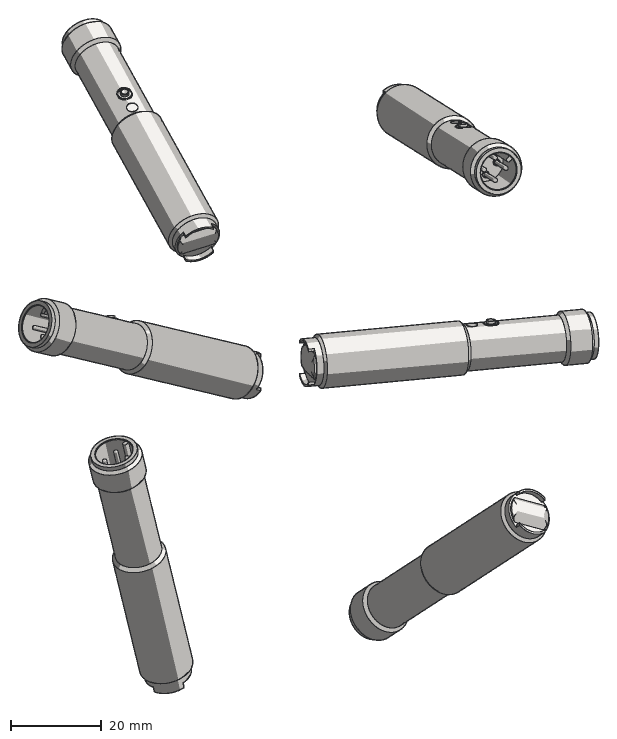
import cadquery as cq
import math

length = 66.3
body_d = 12.0
neck_d = 10.5
nose_d = 10.5
rear_d = 10.6
nose_end = 1.05
collar_start = 1.65
collar_end = 6.7
neck_start = 7.4
neck_end = 29.45
barrel_start = 30.2
barrel_end = 62.8
rear_start = 63.4
rear_floor = 65.0

mouth_d = 8.6
socket_d = 8.3
mouth_chamfer = (mouth_d - socket_d) / 2
socket_depth = 8.6
pin_d = 1.0
pin_count = 4
pin_circle_r = 2.5
pin_tip_x = 2.0
pin_base_d = 1.5
pin_base_height = 0.25
key_d = 1.0
key_circle_r = 3.4
key_angle = 45.0

button_x = 23.3
button_d = 2.0
button_top_z = 5.8
recess_d = 3.5
recess_floor_z = 5.0
seat_d = 3.0
seat_top_z = 5.2
dish_d = 1.45
dish_depth = 0.25
window_x = 27.65
window_d = 2.5
window_z = 5.05

prong_width = 6.6
prong_inner_d = 9.7
bar_half_width = 3.0
bar_top_x = 65.9
bar_rim_x = 65.45
bar_flat_r = 3.0
bar_bulge = 0.1


def rod(start_x, end_x, diameter, y=0.0, z=0.0):
    """Cylinder parallel to X."""
    plane = cq.Workplane("YZ", origin=(start_x, y, z))
    return plane.circle(diameter / 2).extrude(end_x - start_x)


def post(x, bottom_z, top_z, diameter):
    """Vertical cylinder on the XZ midplane."""
    plane = cq.Workplane("XY", origin=(x, 0, bottom_z))
    return plane.circle(diameter / 2).extrude(top_z - bottom_z)


def turned_body():
    profile = [
        (0, 0),
        (0, nose_d / 2),
        (nose_end, nose_d / 2),
        (collar_start, body_d / 2),
        (collar_end, body_d / 2),
        (neck_start, neck_d / 2),
        (neck_end, neck_d / 2),
        (barrel_start, body_d / 2),
        (barrel_end, body_d / 2),
        (rear_start, rear_d / 2),
        (rear_floor, rear_d / 2),
        (rear_floor, 0),
    ]
    return cq.Workplane("XY").polyline(profile).close().revolve(360, (0, 0, 0), (1, 0, 0))


def cut_socket(body):
    socket = rod(0, socket_depth, socket_d)
    mouth = cq.Workplane("YZ").circle(mouth_d / 2).workplane(offset=mouth_chamfer)
    mouth = mouth.circle(socket_d / 2).loft()
    return body.cut(socket).cut(mouth)


def add_pins_and_key(body):
    for index in range(pin_count):
        angle = math.radians(360 / pin_count * index)
        y = pin_circle_r * math.cos(angle)
        z = pin_circle_r * math.sin(angle)
        pin = rod(pin_tip_x, socket_depth, pin_d, y, z)
        pin = pin.faces("<X").edges().fillet(pin_d / 4)
        base = rod(socket_depth - pin_base_height, socket_depth, pin_base_d, y, z)
        body = body.union(base).union(pin)
    wall_middle_r = (nose_d + socket_d) / 4
    key_length = socket_depth - mouth_chamfer
    key_reach = wall_middle_r - key_circle_r
    rib = cq.Workplane("XY").box(key_length, key_reach, key_d, centered=(False, False, True))
    rib = rib.union(rod(0, key_length, key_d)).translate((mouth_chamfer, key_circle_r, 0))
    rib = rib.rotate((0, 0, 0), (1, 0, 0), 180 - key_angle)
    return body.union(rib)


def add_button(body):
    body = body.cut(post(button_x, recess_floor_z, body_d / 2, recess_d))
    body = body.union(post(button_x, recess_floor_z, seat_top_z, seat_d))
    body = body.union(post(button_x, recess_floor_z, button_top_z, button_d))
    dish_r = ((dish_d / 2) ** 2 + dish_depth**2) / (2 * dish_depth)
    dish_center_z = button_top_z - dish_depth + dish_r
    return body.cut(cq.Workplane("XY").sphere(dish_r).translate((button_x, 0, dish_center_z)))


def cut_window(body):
    return body.cut(post(window_x, window_z, body_d / 2, window_d))


def add_prongs(body):
    ring = rod(rear_floor, length, rear_d).cut(rod(rear_floor, length, prong_inner_d))
    strip = cq.Workplane("XY").box(length, prong_width, body_d, centered=(False, True, True))
    return body.union(ring.intersect(strip))


def add_domed_bar(body):
    bar = (
        cq.Workplane("XZ")
        .moveTo(rear_floor, -bar_half_width)
        .threePointArc((bar_top_x, 0), (rear_floor, bar_half_width))
        .close()
        .extrude(prong_inner_d / 2, both=True)
    )
    rim_r = prong_inner_d / 2
    shoulder_x = (bar_rim_x + bar_top_x) / 2 + bar_bulge
    shoulder_r = (rim_r + bar_flat_r) / 2
    envelope = (
        cq.Workplane("XY")
        .moveTo(rear_floor, 0)
        .lineTo(rear_floor, rim_r)
        .lineTo(bar_rim_x, rim_r)
        .threePointArc((shoulder_x, shoulder_r), (bar_top_x, bar_flat_r))
        .lineTo(bar_top_x, 0)
        .close()
        .revolve(360, (0, 0, 0), (1, 0, 0))
    )
    return body.union(bar.intersect(envelope))


result = turned_body()
result = cut_socket(result)
result = add_pins_and_key(result)
result = add_button(result)
result = cut_window(result)
result = add_prongs(result)
result = add_domed_bar(result)